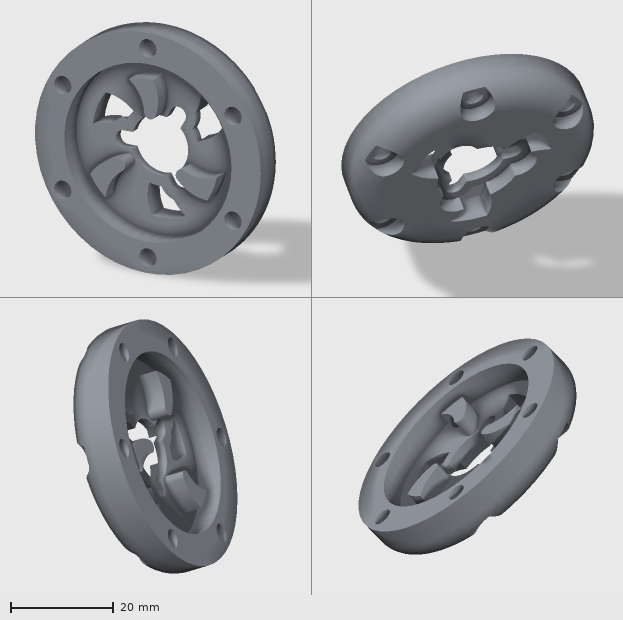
import cadquery as cq
import math

outer_radius = 25.0
height = 10.0
dome_radius = 5.0
pocket_radius = 18.5
floor_thickness = 5.0
pocket_depth = height - floor_thickness

bore_radius = 6.25
slot_width = 3.5
slot_end_distance = 8.0
slot_angles = (60, 180, 300)

recess_margin = 2.2
recess_depth = 3.0

screw_count = 6
screw_circle_radius = 21.75
screw_hole_diameter = 3.8
head_diameter = 7.1
head_depth = 3.0

blade_outer_radius = 15.0
vane_height = 4.0
blade_turns = (0, 120, 240)


def polar(radius, angle, center=(0, 0)):
    """Point in the XZ plane, at an angle measured from +X towards +Z."""
    turn = math.radians(angle)
    return (center[0] + radius * math.cos(turn), center[1] + radius * math.sin(turn))


def plane_at(depth):
    """XZ workplane at Y = depth; negative extrusions run towards +Y."""
    return cq.Workplane("XZ", origin=(0, depth, 0))


def turned(shape, angle):
    """Turn a shape about the part axis, from +X towards +Z."""
    return shape.rotate((0, 0, 0), (0, -1, 0), angle)


def make_body():
    body = plane_at(0).circle(outer_radius).extrude(-height)
    body = body.faces(">Y").edges().fillet(dome_radius)
    pocket = plane_at(0).circle(pocket_radius).extrude(-pocket_depth)
    return body.cut(pocket)


def make_keyed_bore(start, margin=0):
    """Bore and key slots from Y = start to the back, widened by a margin all round."""
    length = height - start
    width = slot_width + 2 * margin
    bore = plane_at(start).circle(bore_radius + margin).extrude(-length)
    slot = (
        plane_at(start)
        .center(slot_end_distance / 2, 0)
        .slot2D(slot_end_distance + width, width)
        .extrude(-length)
    )
    for angle in slot_angles:
        bore = bore.union(turned(slot, angle))
    return bore


def make_screw_cuts():
    centers = [polar(screw_circle_radius, 90 + i * 360 / screw_count) for i in range(screw_count)]
    holes = plane_at(0).pushPoints(centers).circle(screw_hole_diameter / 2).extrude(-height)
    heads = plane_at(height - head_depth).pushPoints(centers).circle(head_diameter / 2).extrude(-head_depth)
    return holes.union(heads)


def make_vane():
    """Curved vane at the top of the bore, rounded at its inner tip."""
    return (
        plane_at(pocket_depth - vane_height)
        .moveTo(*polar(blade_outer_radius, 108.5))
        .threePointArc((-2.45, 11.6), (-1.35, 8.1))
        .threePointArc((-0.05, 6.65), (1.2, 7.6))
        .threePointArc((1.7, 11.1), polar(blade_outer_radius, 87.5))
        .threePointArc(polar(blade_outer_radius, 98), polar(blade_outer_radius, 108.5))
        .close()
        .extrude(-vane_height)
    )


def make_window():
    """Window below the bore, ending on its inner side at the outline of the keyed recess."""
    sector = (
        plane_at(pocket_depth)
        .moveTo(-2.2, -7.5)
        .threePointArc((-2.7, -11.2), polar(blade_outer_radius, 263.2))
        .threePointArc(polar(blade_outer_radius, 278), polar(blade_outer_radius, 292.6))
        .threePointArc((4.25, -12.4), (2.6, -10.0))
        .lineTo(1.5, -7.0)
        .close()
        .extrude(-floor_thickness)
    )
    return sector.cut(make_keyed_bore(pocket_depth, recess_margin))


result = make_body().cut(make_keyed_bore(0))
result = result.cut(make_keyed_bore(height - recess_depth, recess_margin))
result = result.cut(make_screw_cuts())
vane = make_vane()
window = make_window()
for angle in blade_turns:
    result = result.union(turned(vane, angle)).cut(turned(window, angle))